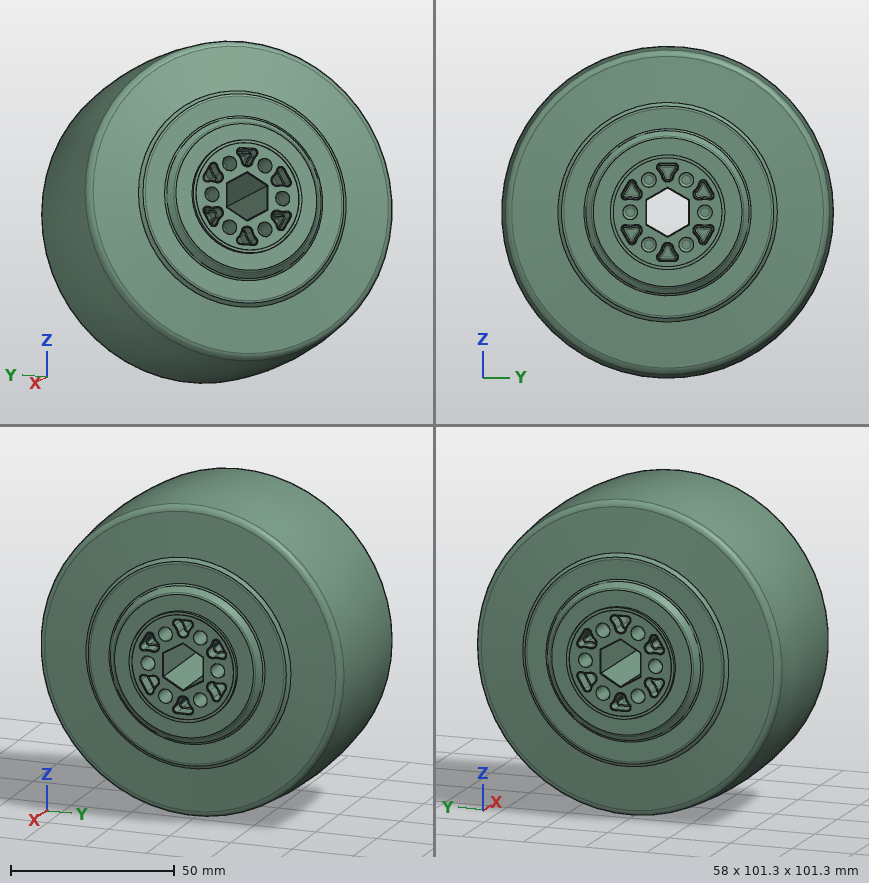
import cadquery as cq
import math

TREAD_RADIUS = 50.645
TREAD_EDGE_RADIUS = 49.5
TREAD_EDGE_X = 20.4
SHOULDER_RADIUS = 47.6
SHOULDER_X = 22.45
SHOULDER_BULGE = 0.45
WALL_FOOT_RADIUS = 33.5
WALL_FOOT_X = 24.0

RING_X = 25.2
RING_RADIUS = 32.4
RING_EDGE_RADIUS = 31.7
RING_EDGE_DROP = 0.15
FLANGE_ROOT_RADIUS = 25.5
FLANGE_CONE_RADIUS = 24.9
FLANGE_CONE_X = 25.55
FLANGE_TOP_RADIUS = 23.25
FLANGE_TOP_X = 27.4
FLANGE_FACE_RADIUS = 22.7
FLANGE_X = 27.75
HUB_RADIUS = 17.5
HUB_X = 57.95 / 2
RECESS_RADIUS = 16.6
RECESS_DEPTH = 0.25
HUB_FACE_X = HUB_X - RECESS_DEPTH

HEX_SIDES = 6
HEX_ACROSS_FLATS = 12.8
HEX_RIM_CHAMFER = 0.25
HEX_TURN = 90
OPENING_COUNT = 6
OPENING_STEP = 360 / OPENING_COUNT
OPENING_DEPTH = 10.0
HOLE_CIRCLE_RADIUS = 11.4
HOLE_RADIUS = 2.25
HOLE_FLOOR_FILLET = 0.9
POCKET_HOLE_GAP = 1.7
POCKET_OUTER_Z = 15.05
POCKET_INNER_Z = 9.2
POCKET_LOBE_RADIUS = 1.35
POCKET_RIM_DEPTH = 0.25
POCKET_WELL_INSET = 0.35
POCKET_WELL_DEPTH = 5.0
POCKET_FOOT_INSET = 0.8
POCKET_FLOOR_FILLET = 0.54


def shoulder_middle():
    """Middle point of the shoulder arc, pushed out square to its chord."""
    run = SHOULDER_X - TREAD_EDGE_X
    drop = TREAD_EDGE_RADIUS - SHOULDER_RADIUS
    chord = math.hypot(run, drop)
    x = (TREAD_EDGE_X + SHOULDER_X) / 2 + SHOULDER_BULGE * drop / chord
    radius = (TREAD_EDGE_RADIUS + SHOULDER_RADIUS) / 2 + SHOULDER_BULGE * run / chord
    return x, radius


def make_body():
    """Revolve the outline, which is symmetric about the mid-plane, around the axle."""
    outline = (
        cq.Workplane("XY")
        .moveTo(-TREAD_EDGE_X, TREAD_EDGE_RADIUS)
        .threePointArc((0, TREAD_RADIUS), (TREAD_EDGE_X, TREAD_EDGE_RADIUS))
        .threePointArc(shoulder_middle(), (SHOULDER_X, SHOULDER_RADIUS))
    )
    side = [
        (WALL_FOOT_X, WALL_FOOT_RADIUS),
        (RING_X - RING_EDGE_DROP, RING_RADIUS),
        (RING_X, RING_EDGE_RADIUS),
        (RING_X, FLANGE_ROOT_RADIUS),
        (FLANGE_CONE_X, FLANGE_CONE_RADIUS),
        (FLANGE_TOP_X, FLANGE_TOP_RADIUS),
        (FLANGE_X, FLANGE_FACE_RADIUS),
        (FLANGE_X, HUB_RADIUS),
        (HUB_X, HUB_RADIUS),
        (HUB_X, RECESS_RADIUS),
        (HUB_FACE_X, RECESS_RADIUS),
        (HUB_FACE_X, 0),
    ]
    for x, radius in side:
        outline = outline.lineTo(x, radius)
    for x, radius in reversed(side):
        outline = outline.lineTo(-x, radius)
    middle_x, middle_radius = shoulder_middle()
    outline = outline.lineTo(-SHOULDER_X, SHOULDER_RADIUS)
    outline = outline.threePointArc((-middle_x, middle_radius), (-TREAD_EDGE_X, TREAD_EDGE_RADIUS))
    return outline.close().revolve(360, (0, 0, 0), (1, 0, 0))


def make_bore():
    """Hexagonal axle bore with two corners on the Z axis and a bevelled rim at each end."""
    corner_ratio = 1 / math.cos(math.pi / HEX_SIDES)
    bore = cq.Workplane("YZ").polygon(HEX_SIDES, HEX_ACROSS_FLATS * corner_ratio).extrude(HUB_X, both=True)
    rim_across_flats = HEX_ACROSS_FLATS + 2 * HEX_RIM_CHAMFER
    rim = (
        cq.Workplane("YZ", origin=(HUB_FACE_X, 0, 0))
        .polygon(HEX_SIDES, rim_across_flats * corner_ratio)
        .workplane(offset=-HEX_RIM_CHAMFER)
        .polygon(HEX_SIDES, HEX_ACROSS_FLATS * corner_ratio)
        .loft(ruled=True)
    )
    bore = bore.union(rim).union(rim.mirror("YZ"))
    return bore.rotate((0, 0, 0), (1, 0, 0), HEX_TURN)


def make_hole():
    """Blind round hole on the +Y axis with a rounded floor, sunk from the +X hub face."""
    return (
        cq.Workplane("YZ", origin=(HUB_FACE_X, 0, 0))
        .center(HOLE_CIRCLE_RADIUS, 0)
        .circle(HOLE_RADIUS)
        .extrude(-OPENING_DEPTH)
        .faces("<X")
        .edges()
        .fillet(HOLE_FLOOR_FILLET)
    )


def make_pocket_prism(inset, depth):
    """Three-lobed prism on the +Z axis, its outline drawn in by an inset.

    The lobes are arcs tangent to flanks that run concentric with the two neighbouring holes.
    """
    half_step = math.radians(OPENING_STEP / 2)
    hole_y = HOLE_CIRCLE_RADIUS * math.sin(half_step)
    hole_z = HOLE_CIRCLE_RADIUS * math.cos(half_step)
    flank = HOLE_RADIUS + POCKET_HOLE_GAP

    lobe_z = POCKET_OUTER_Z - POCKET_LOBE_RADIUS
    lobe_y = hole_y - math.sqrt((flank + POCKET_LOBE_RADIUS) ** 2 - (lobe_z - hole_z) ** 2)
    tip_below_hole = hole_z - POCKET_INNER_Z
    tip_radius = (hole_y**2 + tip_below_hole**2 - flank**2) / (2 * (flank + tip_below_hole))
    tip_z = POCKET_INNER_Z + tip_radius

    lobe = POCKET_LOBE_RADIUS - inset
    tip = tip_radius - inset
    lobe_angle = math.atan2(hole_z - lobe_z, hole_y - lobe_y)
    tip_angle = math.atan2(hole_z - tip_z, hole_y)
    lobe_middle_angle = (lobe_angle + math.pi / 2) / 2
    lobe_end = (lobe_y + lobe * math.cos(lobe_angle), lobe_z + lobe * math.sin(lobe_angle))
    lobe_middle = (lobe_y + lobe * math.cos(lobe_middle_angle), lobe_z + lobe * math.sin(lobe_middle_angle))
    tip_end = (tip * math.cos(tip_angle), tip_z + tip * math.sin(tip_angle))
    flank_middle_angle = (lobe_angle + tip_angle) / 2 + math.pi
    flank_middle = (
        hole_y + (flank + inset) * math.cos(flank_middle_angle),
        hole_z + (flank + inset) * math.sin(flank_middle_angle),
    )

    def across(point):
        return -point[0], point[1]

    return (
        cq.Workplane("YZ", origin=(HUB_FACE_X, 0, 0))
        .moveTo(-lobe_y, lobe_z + lobe)
        .lineTo(lobe_y, lobe_z + lobe)
        .threePointArc(lobe_middle, lobe_end)
        .threePointArc(flank_middle, tip_end)
        .threePointArc((0, tip_z - tip), across(tip_end))
        .threePointArc(across(flank_middle), across(lobe_end))
        .threePointArc(across(lobe_middle), (-lobe_y, lobe_z + lobe))
        .close()
        .extrude(-depth)
    )


def make_pocket():
    """Pocket on the +Z axis with a shallow rim, a main well and a narrower rounded foot."""
    rim = make_pocket_prism(0, POCKET_RIM_DEPTH)
    well = make_pocket_prism(POCKET_WELL_INSET, POCKET_WELL_DEPTH)
    foot = make_pocket_prism(POCKET_FOOT_INSET, OPENING_DEPTH)
    foot = foot.faces("<X").edges().fillet(POCKET_FLOOR_FILLET)
    return rim.union(well).union(foot)


def cut_openings(body):
    """Cut the alternating holes and pockets into both hub faces."""
    hole = make_hole()
    pocket = make_pocket()
    for index in range(OPENING_COUNT):
        for opening in (hole, pocket):
            placed = opening.rotate((0, 0, 0), (1, 0, 0), index * OPENING_STEP)
            body = body.cut(placed).cut(placed.mirror("YZ"))
    return body


result = cut_openings(make_body().cut(make_bore()))